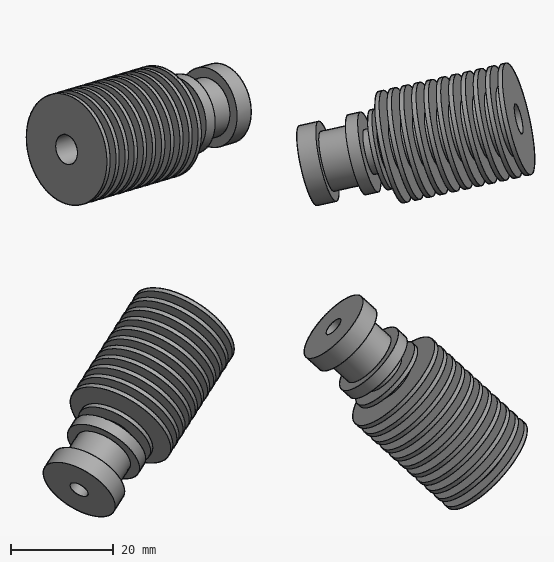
import cadquery as cq


fin_count = 11
fin_diameter = 22.3
fin_thickness = 0.9
fin_pitch = 2.5

end_core_diameter = 14.0
core_diameter_at_collar = 9.0
core_diameter_step = 0.4

collar_diameter = 16.0
groove_diameter = 12.0
small_fin_gap = 1.5
lower_collar_gap = 2.0
lower_collar_length = 2.5
groove_length = 6.0
end_collar_length = 3.9

through_bore_diameter = 4.0
wide_bore_diameter = 6.0
wide_bore_depth = 15.0

fin_gap = fin_pitch - fin_thickness


def turned_sections():
    """List (diameter, length) of every cylinder, in order along +Y."""
    sections = [(fin_diameter, fin_thickness), (end_core_diameter, fin_gap)]
    for step in range(fin_count - 1, 1, -1):
        sections.append((fin_diameter, fin_thickness))
        core_diameter = core_diameter_at_collar + step * core_diameter_step
        sections.append((core_diameter, fin_gap))
    sections += [
        (fin_diameter, fin_thickness),
        (core_diameter_at_collar + core_diameter_step, small_fin_gap),
        (collar_diameter, fin_thickness),
        (core_diameter_at_collar, lower_collar_gap),
        (collar_diameter, lower_collar_length),
        (groove_diameter, groove_length),
        (collar_diameter, end_collar_length),
    ]
    return sections


def turned_body(sections):
    """Revolve the stepped half-profile about the Y axis."""
    profile = cq.Workplane("XY").moveTo(0, 0)
    y = 0
    for diameter, length in sections:
        profile = profile.lineTo(-diameter / 2, y)
        y += length
        profile = profile.lineTo(-diameter / 2, y)
    return profile.lineTo(0, y).close().revolve(360, (0, 0, 0), (0, 1, 0))


def bore(diameter, depth):
    """Cylinder along +Y from the fin end, used as a cutter."""
    return cq.Workplane("XZ").circle(diameter / 2).extrude(-depth)


sections = turned_sections()
total_length = sum(length for _, length in sections)

body = turned_body(sections)
body = body.cut(bore(through_bore_diameter, total_length))
result = body.cut(bore(wide_bore_diameter, wide_bore_depth))